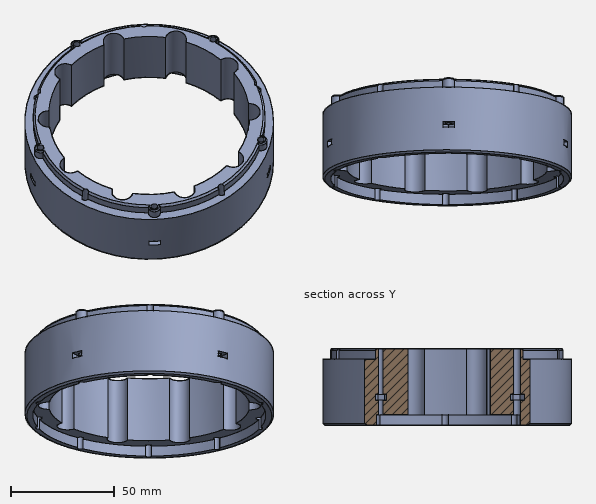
import cadquery as cq
import math

outer_radius = 60.0
bore_radius = 48.5
total_height = 37.0
edge_chamfer = 1.0

spigot_radius = 55.9
spigot_height = 5.0
socket_clearance = 0.2
socket_radius = spigot_radius + socket_clearance
shoulder_z = total_height - spigot_height

pattern_turn = 1.0

scallop_count = 10
scallop_radius = 5.0

boss_count = 5
hole_count = 2 * boss_count
hole_diameter = 3.1
hole_circle_radius = spigot_radius
boss_diameter = 5.8
boss_chamfer = 0.6
boss_step = 360.0 / boss_count
first_boss_angle = pattern_turn + 0.75 * boss_step

nut_width = 5.5
nut_slot_height = 2.8
nut_slot_z = 12.1


def cylinder(radius, height, base_z=0.0):
    """Upright cylinder on the ring axis."""
    return cq.Workplane("XY").workplane(offset=base_z).circle(radius).extrude(height)


def cylinder_circle(count, circle_radius, first_angle, radius, height, base_z=0.0):
    """Upright cylinders spaced evenly around the ring axis."""
    centres = cq.Workplane("XY").workplane(offset=base_z).polarArray(circle_radius, first_angle, 360, count)
    return centres.circle(radius).extrude(height)


def ring_body():
    """Chamfered outer wall with a chamfered spigot on top, bored and socketed."""
    wall = cylinder(outer_radius, shoulder_z).faces("<Z").chamfer(edge_chamfer)
    spigot = cylinder(spigot_radius, spigot_height, shoulder_z).faces(">Z").chamfer(edge_chamfer)
    bore = cylinder(bore_radius, total_height)
    socket = cylinder(socket_radius, spigot_height)
    return wall.union(spigot).cut(bore).cut(socket)


def bosses():
    """Chamfered bosses standing on the shoulder, as tall as the spigot."""
    pins = cylinder_circle(
        boss_count, hole_circle_radius, first_boss_angle, boss_diameter / 2, spigot_height, shoulder_z
    )
    return pins.faces(">Z").chamfer(boss_chamfer)


def scallops():
    return cylinder_circle(scallop_count, bore_radius, pattern_turn, scallop_radius, total_height)


def screw_holes():
    return cylinder_circle(hole_count, hole_circle_radius, first_boss_angle, hole_diameter / 2, total_height)


def nut_slot(angle):
    """Slot open to the outside whose inner end is half a hexagon around the screw axis."""
    half_width = nut_width / 2
    hexagon_radius = nut_width / math.sqrt(3)
    tip_x = hole_circle_radius - hexagon_radius
    side_x = hole_circle_radius - hexagon_radius / 2
    open_x = outer_radius + hexagon_radius
    outline = [
        (tip_x, 0),
        (side_x, half_width),
        (open_x, half_width),
        (open_x, -half_width),
        (side_x, -half_width),
    ]
    slot = cq.Workplane("XY").workplane(offset=nut_slot_z).polyline(outline).close().extrude(nut_slot_height)
    return slot.rotate((0, 0, 0), (0, 0, 1), angle)


result = ring_body().union(bosses()).cut(scallops()).cut(screw_holes())
for index in range(boss_count):
    result = result.cut(nut_slot(first_boss_angle + index * boss_step))